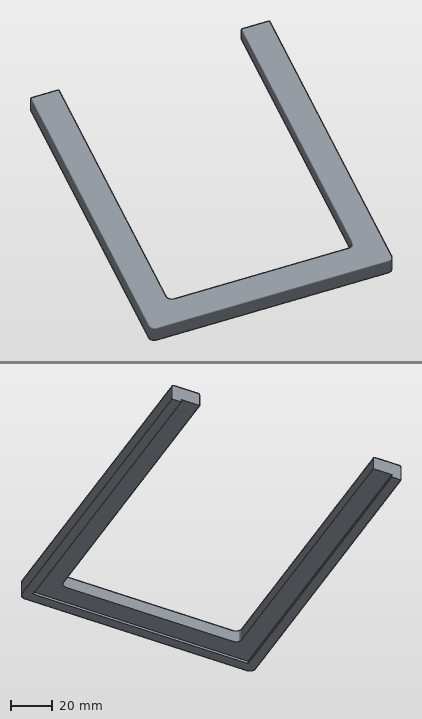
import cadquery as cq

length = 165.47
width = 126.2
height = 9.0

bar_width = 15.0
short_leg_setback = 4.7

corner_radius = 3.0
top_edge_radius = 1.0

lip_width = 5.0
step_height = 1.5

half_width = width / 2
inner_half_width = half_width - bar_width
crossbar_inner_x = length - bar_width

pick_margin = 1.0


def edges_at_x(x):
    """Select the edges whose centres lie close to the plane at x."""
    return cq.selectors.BoxSelector(
        (x - pick_margin, -width, -height),
        (x + pick_margin, width, 2 * height),
    )


def make_frame():
    """U-shaped frame with one leg shorter than the other and rounded corners."""
    outline = [
        (0, half_width),
        (length, half_width),
        (length, -half_width),
        (short_leg_setback, -half_width),
        (short_leg_setback, -inner_half_width),
        (crossbar_inner_x, -inner_half_width),
        (crossbar_inner_x, inner_half_width),
        (0, inner_half_width),
    ]
    frame = cq.Workplane("XY").polyline(outline).close().extrude(height)
    crossbar_corners = edges_at_x(length) + edges_at_x(crossbar_inner_x)
    return frame.edges("|Z").edges(crossbar_corners).fillet(corner_radius)


def round_top_edges(frame):
    """Round the top rim everywhere except across the two flat leg ends."""
    leg_ends = edges_at_x(0) + edges_at_x(short_leg_setback)
    rim = cq.selectors.StringSyntaxSelector(">Z") - leg_ends
    return frame.edges(rim).fillet(top_edge_radius)


def make_underside_step():
    """Block that removes the inner underside and runs out through both leg ends."""
    return cq.Workplane("XY").box(
        length - lip_width,
        width - 2 * lip_width,
        step_height,
        centered=(False, True, False),
    )


result = round_top_edges(make_frame()).cut(make_underside_step())